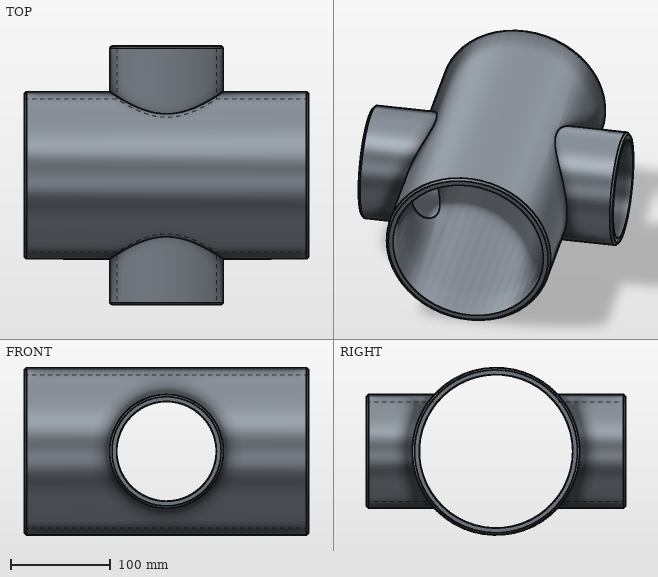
import cadquery as cq

main_length = 285.5
main_diameter = 168.2
branch_span = 260.0
branch_diameter = 114.2
wall = 7.0
bevel = 2.3


def bar(plane, diameter, length):
    """Solid round bar centred on the origin, along the normal of the plane."""
    return cq.Workplane(plane).circle(diameter / 2).extrude(length / 2, both=True)


def bevelled_bar(plane, diameter, length):
    """Round bar with its two end rims bevelled."""
    return bar(plane, diameter, length).edges("%CIRCLE").chamfer(bevel)


outside = bevelled_bar("YZ", main_diameter, main_length).union(
    bevelled_bar("XZ", branch_diameter, branch_span)
)

main_bore = bar("YZ", main_diameter - 2 * wall, main_length)
branch_bore = bar("XZ", branch_diameter - 2 * wall, branch_span)

result = outside.cut(main_bore).cut(branch_bore)